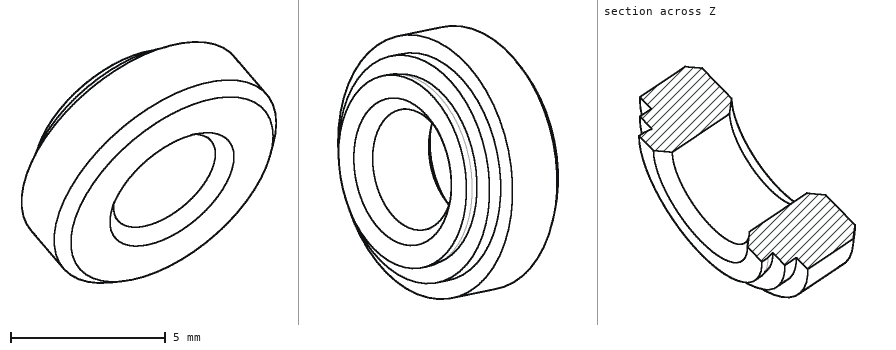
import cadquery as cq

total_length = 3.25
flange_radius = 4.32
flange_length = 2.28
flange_chamfer = 0.39

shoulder_radius = 3.73
shoulder_length = 0.475

collar_radius = 3.16
collar_rim_length = 0.23
undercut_radius = 3.11

bore_radius = 1.98
countersink_radius = 2.41
countersink_depth = countersink_radius - bore_radius

flange_start = total_length - flange_length
shoulder_start = flange_start - shoulder_length

section = (
    cq.Workplane("XY")
    .moveTo(0, countersink_radius)
    .lineTo(0, collar_radius)
    .lineTo(collar_rim_length, collar_radius)
    .lineTo(shoulder_start, undercut_radius)
    .lineTo(shoulder_start, shoulder_radius)
    .lineTo(flange_start, shoulder_radius)
    .lineTo(flange_start, flange_radius)
    .lineTo(total_length - flange_chamfer, flange_radius)
    .lineTo(total_length, flange_radius - flange_chamfer)
    .lineTo(total_length, countersink_radius)
    .lineTo(total_length - countersink_depth, bore_radius)
    .lineTo(countersink_depth, bore_radius)
    .close()
)

result = section.revolve(360, (0, 0, 0), (1, 0, 0))